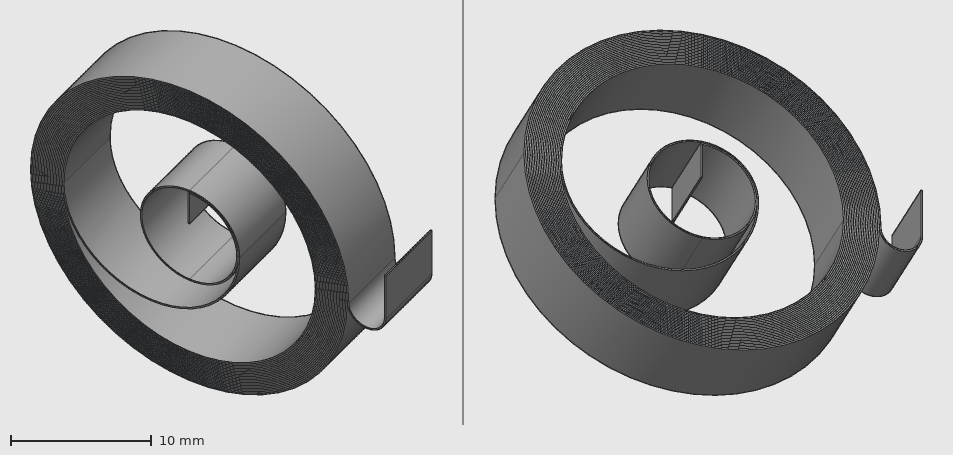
import cadquery as cq
import math

strip_width = 6.0
strip_thickness = 0.127
turn_gap = 0.003
turn_pitch = strip_thickness + turn_gap

overall_length = 30.15
coil_radius = 13.5
coil_upper_turns = 22
ring_radius = 4.25
hook_leg_height = 3.98
tab_tip_height = 1.15

half_thickness = strip_thickness / 2
hook_leg_x = overall_length - coil_radius - half_thickness
ring_mid_radius = ring_radius - half_thickness


def mid_crossings():
    """Mid-strip x wherever the strip crosses z = 0, from the hook leg to the start of the ring."""
    crossings = [hook_leg_x]
    for turn in range(coil_upper_turns):
        reach = coil_radius - half_thickness - turn * turn_pitch
        crossings += [reach, -reach]
    return crossings + [ring_mid_radius]


def half_turn_points(offset):
    """Points of one strip face along the hook, the coil and the free half turn.

    Crossings alternate with the middles of the half circles between them. `offset` is measured
    to the right of the direction of travel. The strip heads down at even crossings and up at
    odd ones, so the offset changes sign from one to the next.
    """
    crossings = [x + (offset if i % 2 else -offset) for i, x in enumerate(mid_crossings())]
    points = [(crossings[0], 0)]
    for i in range(1, len(crossings)):
        start, end = crossings[i - 1], crossings[i]
        radius = abs(end - start) / 2
        middle_z = -radius if i % 2 else radius
        points += [((start + end) / 2, middle_z), (end, 0)]
    return points


def ring_points(offset):
    """Points of one strip face along the ring, following on from its crossing on the right.

    A quarter turn rises to the top, a half turn on the left steps in by one pitch, and a
    half turn on the right returns to the top inside the first quarter.
    """
    outer_turn = ring_mid_radius + offset
    inner_turn = outer_turn - turn_pitch
    step_radius = (outer_turn + inner_turn) / 2
    step_centre_z = (outer_turn - inner_turn) / 2
    diagonal = outer_turn * math.sqrt(0.5)
    return [
        (diagonal, diagonal),
        (0, outer_turn),
        (-step_radius, step_centre_z),
        (0, -inner_turn),
        (inner_turn, 0),
        (0, inner_turn),
    ]


def face_points(offset):
    """Arc ends and arc middles in turn along one face, from the hook leg to the top of the tab."""
    return half_turn_points(offset) + ring_points(offset)


def add_arcs(outline, points):
    """Continue the outline from points[0] with tangent arcs through the other points."""
    for middle, end in zip(points[1::2], points[2::2]):
        outline = outline.threePointArc(middle, end)
    return outline


def strip_outline():
    right_face = face_points(half_thickness)
    left_face = face_points(-half_thickness)
    leg_right_x = right_face[0][0]
    leg_left_x = left_face[0][0]
    tab_top = right_face[-1][1]

    outline = cq.Workplane("XZ").moveTo(leg_right_x, hook_leg_height).lineTo(leg_right_x, 0)
    outline = add_arcs(outline, right_face)

    outline = outline.lineTo(-strip_thickness, tab_top)
    outline = outline.lineTo(-strip_thickness, tab_tip_height)
    outline = outline.lineTo(0, tab_tip_height)
    outline = outline.lineTo(*left_face[-1])

    outline = add_arcs(outline, left_face[::-1])
    return outline.lineTo(leg_left_x, hook_leg_height).close()


result = strip_outline().extrude(strip_width / 2, both=True)